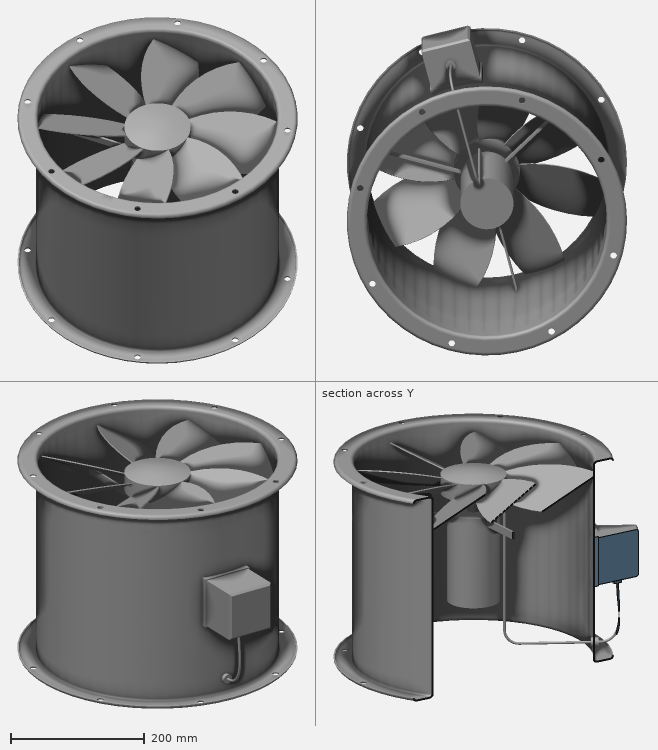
import cadquery as cq
import math


CASING_HEIGHT = 320.0
FLANGE_DIAMETER = 420.0
FLANGE_RADIUS = FLANGE_DIAMETER / 2
TUBE_INNER_RADIUS = 179.7
SHEET_THICKNESS = 2.0
BEND_RADIUS = 5.8
TUBE_OUTER_RADIUS = TUBE_INNER_RADIUS + SHEET_THICKNESS
BOLT_CIRCLE_RADIUS = 197.0
BOLT_HOLE_RADIUS = 5.0
BOLT_COUNT = 8

HUB_DIAMETER = 99.5
HUB_RADIUS = HUB_DIAMETER / 2
HUB_RIM_Z = 136.0
HUB_HEIGHT = 28.8
HUB_DOME_HEIGHT = 8.0
HUB_BOTTOM_Z = HUB_RIM_Z - HUB_HEIGHT
BLADE_COUNT = 8
BLADE_PITCH = 30.0
BLADE_Z = 121.0
BLADE_THICKNESS = 1.8
BLADE_TIP_RADIUS = 179.5
BLADE_ROOT_DISTANCE = 42.0
BLADE_ROOT_HALF_WIDTH = 27.0
BLADE_WIDEST_DISTANCE = 125.3
BLADE_WIDEST_HALF_WIDTH = 48.0
BLADE_END_DISTANCE = 181.5
BLADE_END_HALF_WIDTH = 37.0

MOTOR_RADIUS = 40.0
MOTOR_TOP_Z = 78.0
MOTOR_LENGTH = 141.5
SHAFT_RADIUS = 9.0
STRUT_ANGLES = (90, 210, 330)
STRUT_THICKNESS = 3.0
STRUT_HEIGHT = 12.0
STRUT_TOP_Z = 75.5

BOX_ANGLE = 150
BOX_OUTER_DISTANCE = 249.0
BOX_SIDE = 75.3
BOX_CHAMFER = 3.0
BRACKET_SIDE = 79.2
BRACKET_OUTER_DISTANCE = 186.5

CABLE_RADIUS = 2.0
GLAND_DIAMETER = 14.5
GLAND_RADIUS = GLAND_DIAMETER / 2
GLAND_HEIGHT = 4.0
BOX_GLAND_DISTANCE = 216.0
CABLE_BULGE_DISTANCE = 219.0
CABLE_BULGE_Z = -97.5
WALL_GLAND_Z = -134.5
WALL_GLAND_INNER_DISTANCE = 176.0
WALL_GLAND_OUTER_DISTANCE = 187.5
CABLE_RISER_DISTANCE = 46.5
CABLE_RISER_BEND = 22.0
CABLE_MOTOR_BEND = 4.5
CABLE_MOTOR_Z = 75.3


def cylinder(radius, bottom, top):
    """Upright cylinder on the fan axis."""
    return cq.Workplane("XY").workplane(offset=bottom).circle(radius).extrude(top - bottom)


def at_box_angle(body):
    """Turn a body built facing +X to face the terminal box direction."""
    return body.rotate((0, 0, 0), (0, 0, 1), BOX_ANGLE)


def make_casing_half():
    """Upper half of the casing sheet: half the tube, its bend, flange and lip."""
    top = CASING_HEIGHT / 2
    bend_z = top - BEND_RADIUS
    tube_bend_x = TUBE_INNER_RADIUS + BEND_RADIUS
    lip_bend_x = FLANGE_RADIUS - BEND_RADIUS
    inner_bend = BEND_RADIUS - SHEET_THICKNESS
    outer_leg = BEND_RADIUS * math.sqrt(0.5)
    inner_leg = inner_bend * math.sqrt(0.5)
    return (
        cq.Workplane("XZ")
        .moveTo(TUBE_INNER_RADIUS, 0)
        .lineTo(TUBE_INNER_RADIUS, bend_z)
        .threePointArc((tube_bend_x - outer_leg, bend_z + outer_leg), (tube_bend_x, top))
        .lineTo(lip_bend_x, top)
        .threePointArc((lip_bend_x + outer_leg, bend_z + outer_leg), (FLANGE_RADIUS, bend_z))
        .lineTo(FLANGE_RADIUS - SHEET_THICKNESS, bend_z)
        .threePointArc(
            (lip_bend_x + inner_leg, bend_z + inner_leg), (lip_bend_x, top - SHEET_THICKNESS)
        )
        .lineTo(tube_bend_x, top - SHEET_THICKNESS)
        .threePointArc(
            (tube_bend_x - inner_leg, bend_z + inner_leg), (TUBE_OUTER_RADIUS, bend_z)
        )
        .lineTo(TUBE_OUTER_RADIUS, 0)
        .close()
        .revolve(360, (0, 0, 0), (0, 1, 0))
    )


def make_struts():
    """Three bars from the fan axis, ending flush with the outside of the tube."""
    strut = (
        cq.Workplane("XY")
        .box(FLANGE_RADIUS, STRUT_THICKNESS, STRUT_HEIGHT, centered=(False, True, False))
        .translate((0, 0, STRUT_TOP_Z - STRUT_HEIGHT))
        .intersect(cylinder(TUBE_OUTER_RADIUS, 0, STRUT_TOP_Z))
    )
    return [strut.rotate((0, 0, 0), (0, 0, 1), angle) for angle in STRUT_ANGLES]


def make_casing():
    upper = make_casing_half()
    lower = upper.mirror("XY")
    bolt_holes = (
        cq.Workplane("XY")
        .workplane(offset=-CASING_HEIGHT / 2)
        .polarArray(BOLT_CIRCLE_RADIUS, 0, 360, BOLT_COUNT)
        .circle(BOLT_HOLE_RADIUS)
        .extrude(CASING_HEIGHT)
    )
    cable_hole = at_box_angle(
        cq.Workplane("YZ")
        .center(0, WALL_GLAND_Z)
        .circle(CABLE_RADIUS)
        .extrude(BOX_GLAND_DISTANCE)
    )
    casing = upper.union(lower).cut(bolt_holes).cut(cable_hole)
    for strut in make_struts():
        casing = casing.cut(strut)
    return casing


def make_hub():
    """Hub with a flat underside and a shallow spherical top."""
    dome_radius = (HUB_RADIUS**2 + HUB_DOME_HEIGHT**2) / (2 * HUB_DOME_HEIGHT)
    half_way = HUB_RADIUS / 2
    half_way_z = HUB_RIM_Z + HUB_DOME_HEIGHT - dome_radius + math.sqrt(dome_radius**2 - half_way**2)
    return (
        cq.Workplane("XZ")
        .moveTo(0, HUB_BOTTOM_Z)
        .lineTo(HUB_RADIUS, HUB_BOTTOM_Z)
        .lineTo(HUB_RADIUS, HUB_RIM_Z)
        .threePointArc((half_way, half_way_z), (0, HUB_RIM_Z + HUB_DOME_HEIGHT))
        .close()
        .revolve(360, (0, 0, 0), (0, 1, 0))
    )


def make_blade():
    """Flat blade along +X, pitched about its own length."""
    return (
        cq.Workplane("XY")
        .workplane(offset=-BLADE_THICKNESS / 2)
        .moveTo(BLADE_ROOT_DISTANCE, -BLADE_ROOT_HALF_WIDTH)
        .threePointArc(
            (BLADE_WIDEST_DISTANCE, -BLADE_WIDEST_HALF_WIDTH),
            (BLADE_END_DISTANCE, -BLADE_END_HALF_WIDTH),
        )
        .lineTo(BLADE_END_DISTANCE, BLADE_END_HALF_WIDTH)
        .threePointArc(
            (BLADE_WIDEST_DISTANCE, BLADE_WIDEST_HALF_WIDTH),
            (BLADE_ROOT_DISTANCE, BLADE_ROOT_HALF_WIDTH),
        )
        .close()
        .extrude(BLADE_THICKNESS)
        .rotate((0, 0, 0), (1, 0, 0), BLADE_PITCH)
        .translate((0, 0, BLADE_Z))
        .intersect(cylinder(BLADE_TIP_RADIUS, 0, CASING_HEIGHT / 2))
    )


def make_impeller():
    impeller = make_hub()
    blade = make_blade()
    for i in range(BLADE_COUNT):
        impeller = impeller.union(blade.rotate((0, 0, 0), (0, 0, 1), i * 360 / BLADE_COUNT))
    return impeller


def make_motor():
    motor = cylinder(MOTOR_RADIUS, MOTOR_TOP_Z - MOTOR_LENGTH, MOTOR_TOP_Z)
    motor = motor.union(cylinder(SHAFT_RADIUS, MOTOR_TOP_Z, HUB_BOTTOM_Z))
    for strut in make_struts():
        motor = motor.union(strut)
    return motor


def make_bracket():
    """Square plate whose back follows the casing wall."""
    block = cq.Workplane("XY").box(
        BRACKET_OUTER_DISTANCE, BRACKET_SIDE, BRACKET_SIDE, centered=(False, True, True)
    )
    wall = cylinder(TUBE_OUTER_RADIUS, -BRACKET_SIDE, BRACKET_SIDE)
    return at_box_angle(block.cut(wall))


def make_box():
    box = (
        cq.Workplane("XY")
        .box(
            BOX_OUTER_DISTANCE - BRACKET_OUTER_DISTANCE,
            BOX_SIDE,
            BOX_SIDE,
            centered=(False, True, True),
        )
        .faces(">X")
        .chamfer(BOX_CHAMFER)
        .translate((BRACKET_OUTER_DISTANCE, 0, 0))
    )
    return at_box_angle(box)


def make_cable():
    """Cable with a gland under the box and a gland on both sides of the casing wall."""
    box_bottom = -BOX_SIDE / 2
    riser_end_z = CABLE_MOTOR_Z - CABLE_MOTOR_BEND
    path = (
        cq.Workplane("XZ")
        .moveTo(BOX_GLAND_DISTANCE, box_bottom)
        .spline(
            [(CABLE_BULGE_DISTANCE, CABLE_BULGE_Z), (WALL_GLAND_OUTER_DISTANCE, WALL_GLAND_Z)],
            tangents=[(0, -1), (-1, 0)],
            includeCurrent=True,
        )
        .lineTo(CABLE_RISER_DISTANCE + CABLE_RISER_BEND, WALL_GLAND_Z)
        .tangentArcPoint((CABLE_RISER_DISTANCE, WALL_GLAND_Z + CABLE_RISER_BEND), relative=False)
        .lineTo(CABLE_RISER_DISTANCE, riser_end_z)
        .tangentArcPoint((CABLE_RISER_DISTANCE - CABLE_MOTOR_BEND, CABLE_MOTOR_Z), relative=False)
        .lineTo(0, CABLE_MOTOR_Z)
    )
    cable = (
        cq.Workplane("XY", origin=(BOX_GLAND_DISTANCE, 0, box_bottom))
        .circle(CABLE_RADIUS)
        .sweep(path)
        .cut(cylinder(MOTOR_RADIUS, MOTOR_TOP_Z - MOTOR_LENGTH, MOTOR_TOP_Z))
    )
    box_gland = (
        cq.Workplane("XY", origin=(BOX_GLAND_DISTANCE, 0, box_bottom))
        .circle(GLAND_RADIUS)
        .extrude(-GLAND_HEIGHT)
    )
    tube = cylinder(TUBE_OUTER_RADIUS, -CASING_HEIGHT / 2, 0).cut(
        cylinder(TUBE_INNER_RADIUS, -CASING_HEIGHT / 2, 0)
    )
    wall_glands = (
        cq.Workplane("YZ", origin=(WALL_GLAND_INNER_DISTANCE, 0, WALL_GLAND_Z))
        .circle(GLAND_RADIUS)
        .extrude(WALL_GLAND_OUTER_DISTANCE - WALL_GLAND_INNER_DISTANCE)
        .cut(tube)
    )
    return at_box_angle(cable.union(box_gland).union(wall_glands))


casing = make_casing()
impeller = make_impeller()
motor = make_motor()
bracket = make_bracket()
box = make_box()
cable = make_cable()

bodies = [casing, impeller, motor, bracket, box, cable]
result = cq.Compound.makeCompound([body.solids().val() for body in bodies])